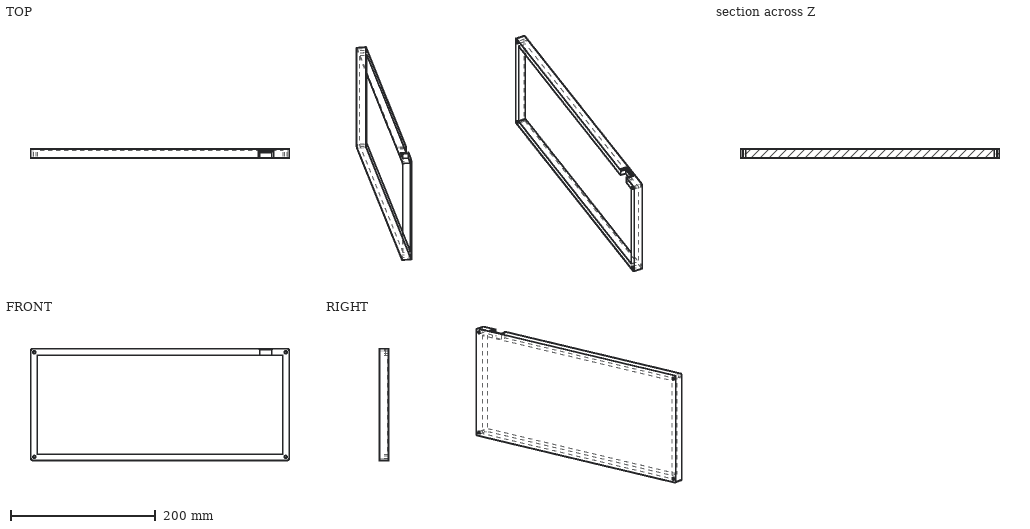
import cadquery as cq
import math

length = 357.5
depth = 13.0
height = 154.8
corner_radius = 3.05

frame_width = 9.0
pocket_depth = 10.7

hole_diameter = 3.4
hole_inset = 5.0

notch_width = 16.5
notch_depth = 8.0
notch_center_x = 146.0

recess_slope_width = 2.0
recess_slope_depth = 0.9
recess_step_depth = 0.9
recess_clearance = 0.5
recess_lip = 0.5

front_y = -depth / 2
top_z = height / 2


def box_from_front(size_x, size_y, size_z, center_x=0.0, center_z=0.0):
    """Box whose front face lies in the front plane of the tray."""
    box = cq.Workplane("XY").box(size_x, size_y, size_z)
    return box.translate((center_x, front_y + size_y / 2, center_z))


def make_body():
    body = cq.Workplane("XY").box(length, depth, height)
    return body.edges("|Y").fillet(corner_radius)


def make_pocket():
    return box_from_front(length - 2 * frame_width, pocket_depth, height - 2 * frame_width)


def make_screw_holes():
    return (
        cq.Workplane("XZ")
        .rect(length - 2 * hole_inset, height - 2 * hole_inset, forConstruction=True)
        .vertices()
        .circle(hole_diameter / 2)
        .extrude(depth, both=True)
    )


def make_notch():
    center_z = top_z - frame_width / 2
    return box_from_front(notch_width, notch_depth, frame_width, notch_center_x, center_z)


def make_notch_recess():
    """Recess in the top face that narrows downward to a floor just wider than the notch."""
    floor_x = notch_width + 2 * recess_clearance
    mouth_x = floor_x + 2 * recess_slope_width
    floor_y = notch_depth + recess_clearance - recess_lip
    recess_front_y = front_y + recess_lip
    slope_angle = math.degrees(math.atan2(recess_slope_width, recess_slope_depth))

    front_center = cq.Workplane("XY", origin=(notch_center_x, recess_front_y, top_z))
    mouth_y = floor_y + recess_slope_width
    mouth_outline = front_center.rect(mouth_x, 2 * mouth_y)
    tapered_block = mouth_outline.extrude(-recess_slope_depth, taper=slope_angle)
    rear_center = front_center.center(0, mouth_y / 2)
    rear_half = rear_center.rect(mouth_x, mouth_y).extrude(-recess_slope_depth)
    sloped_part = tapered_block.intersect(rear_half)

    recess_depth = recess_slope_depth + recess_step_depth
    floor_center = cq.Workplane("XY", origin=(notch_center_x, recess_front_y + floor_y / 2, top_z))
    upright_part = floor_center.rect(floor_x, floor_y).extrude(-recess_depth)
    return sloped_part.union(upright_part)


result = make_body()
for cutter in (make_pocket(), make_screw_holes(), make_notch(), make_notch_recess()):
    result = result.cut(cutter)